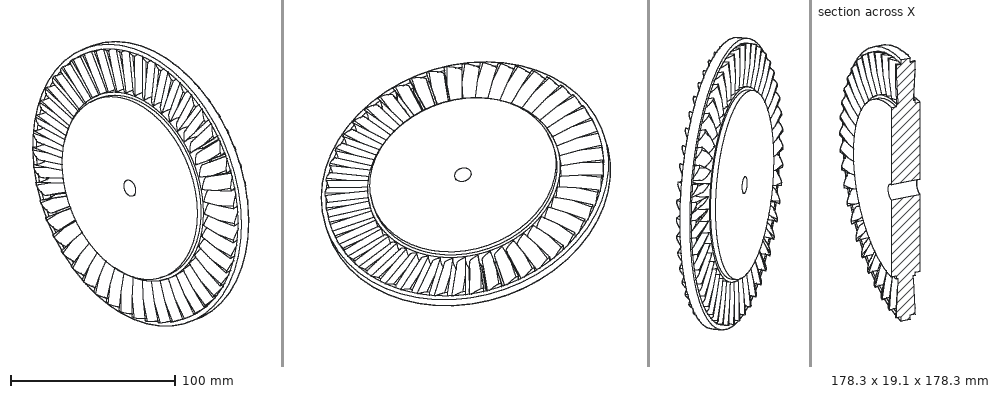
import cadquery as cq

outer_radius = 89.13
shroud_inner_radius = 86.1
shroud_width = 6.35
blade_count = 48
blade_width = 12.7
blade_root_radius = 59.7
hub_radius = 57.8
hub_width = 19.05
bore_radius = 5.08

hollow_wall_offset = 1.1
hollow_wall_depth = 1.0
nose_offset = 2.3
flank_middle_offset = 4.6
flank_end_offset = 10.6

blade_pitch_angle = 360.0 / blade_count


def disc(radius, width):
    """Solid disc about the Y axis, centred on Y = 0."""
    return cq.Workplane("XZ", origin=(0, width / 2, 0)).circle(radius).extrude(width)


def wheel_blank():
    """Stepped wheel body before the passages and the bore are cut."""
    hub = disc(hub_radius, hub_width)
    blade_band = disc(shroud_inner_radius, blade_width)
    shroud = disc(outer_radius, shroud_width)
    return hub.union(blade_band).union(shroud)


def passage():
    """Curved channel between two blades, running from the blade roots to the shroud.

    Its section is the same all along the radius: one wall is the hollow face of a blade,
    the other the bulged face of its neighbour, which comes closest at the nose on Y = 0.
    """
    half_width = blade_width / 2
    channel = (
        cq.Workplane("XY")
        .moveTo(hollow_wall_offset, -half_width)
        .threePointArc(
            (hollow_wall_offset - hollow_wall_depth, 0),
            (hollow_wall_offset, half_width),
        )
        .lineTo(flank_end_offset, half_width)
        .spline(
            [
                (flank_middle_offset, half_width / 2),
                (nose_offset, 0),
                (flank_middle_offset, -half_width / 2),
                (flank_end_offset, -half_width),
            ],
            includeCurrent=True,
        )
        .close()
        .extrude(outer_radius)
    )
    band = disc(shroud_inner_radius, blade_width).cut(disc(blade_root_radius, blade_width))
    return channel.intersect(band)


def passages():
    """All the passages, evenly spaced about the Y axis."""
    channel = passage().val()
    axis_start = cq.Vector(0, 0, 0)
    axis_end = cq.Vector(0, 1, 0)
    return [
        channel.rotate(axis_start, axis_end, index * blade_pitch_angle)
        for index in range(blade_count)
    ]


bored_blank = wheel_blank().cut(disc(bore_radius, hub_width))
bladed_wheel = bored_blank.val().cut(*passages())
result = cq.Workplane(bladed_wheel).solids()